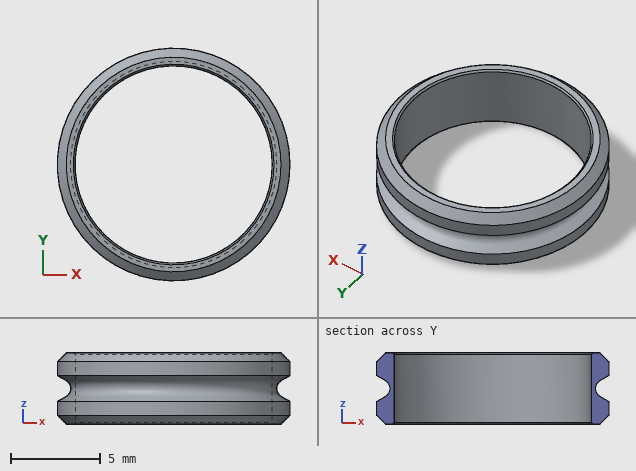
import cadquery as cq
import math

outer_radius = 6.5
bore_radius = 5.5
height = 4.0
outer_chamfer = 0.51
bore_chamfer = 0.1
groove_depth = 0.74
groove_root_radius = 0.51
flank_angle = math.radians(30)

half_height = height / 2
root_r = outer_radius - groove_depth
tangent_z = groove_root_radius * math.cos(flank_angle)
tangent_r = root_r + groove_root_radius * (1 - math.sin(flank_angle))
half_groove = tangent_z + (outer_radius - tangent_r) * math.tan(flank_angle)


def ring_profile():
    """Half section of the ring, with radius along X and height along Z."""
    return (
        cq.Workplane("XZ")
        .moveTo(bore_radius, -half_height + bore_chamfer)
        .lineTo(bore_radius + bore_chamfer, -half_height)
        .lineTo(outer_radius - outer_chamfer, -half_height)
        .lineTo(outer_radius, -half_height + outer_chamfer)
        .lineTo(outer_radius, -half_groove)
        .lineTo(tangent_r, -tangent_z)
        .threePointArc((root_r, 0), (tangent_r, tangent_z))
        .lineTo(outer_radius, half_groove)
        .lineTo(outer_radius, half_height - outer_chamfer)
        .lineTo(outer_radius - outer_chamfer, half_height)
        .lineTo(bore_radius + bore_chamfer, half_height)
        .lineTo(bore_radius, half_height - bore_chamfer)
        .close()
    )


result = ring_profile().revolve(360, (0, 0, 0), (0, 1, 0))